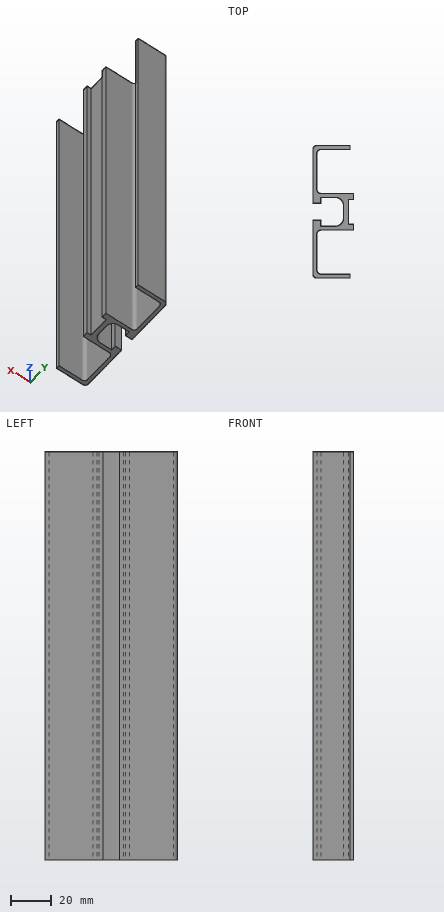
import cadquery as cq

depth = 20.0
width = 65.0
length = 200.0

flange_depth = 18.3
flange_thickness = 2.0
web_thickness = 2.0
outer_corner_radius = 2.0
inner_corner_radius = 2.0

channel_outer_width = 18.0
channel_inner_width = 14.0
channel_back_radius = 4.0
slot_width = 8.2
lip_thickness = 4.0
channel_floor_front = 15.0
channel_floor_back = 17.5
rear_groove_width = 12.0

front_x = -depth / 2


def prism(x_start, x_end, y_start, y_end):
    """Full-length block; X is measured back from the front face."""
    return (
        cq.Workplane("XY")
        .box(x_end - x_start, y_end - y_start, length, centered=False)
        .translate((front_x + x_start, y_start, -length / 2))
    )


def centred_prism(x_start, x_end, y_width):
    return prism(x_start, x_end, -y_width / 2, y_width / 2)


def outer_body():
    """Solid envelope with its two front corners rounded."""
    body = centred_prism(0, depth, width)
    return body.edges("|Z and <X").fillet(outer_corner_radius)


def side_recess(side):
    """Open space between a flange and the central channel; side is +1 or -1."""
    edges_y = sorted((side * channel_outer_width / 2, side * (width / 2 - flange_thickness)))
    recess = prism(web_thickness, depth, *edges_y)
    return recess.edges("|Z and <X").fillet(inner_corner_radius)


def flange_trim(side):
    """Material behind the end of a flange, which is shorter than the channel."""
    edges_y = sorted((side * channel_outer_width / 2, side * width / 2))
    return prism(flange_depth, depth, *edges_y)


def channel_cavity():
    """T-slot cavity with a rounded floor, open to the front through the slot."""
    cavity = centred_prism(lip_thickness, channel_floor_front, channel_inner_width)
    cavity = cavity.edges("|Z and >X").fillet(channel_back_radius)
    slot = centred_prism(0, lip_thickness, slot_width)
    return cavity.union(slot)


def rear_groove():
    return centred_prism(channel_floor_back, depth, rear_groove_width)


result = outer_body().cut(channel_cavity()).cut(rear_groove())
for side in (-1, 1):
    result = result.cut(side_recess(side)).cut(flange_trim(side))